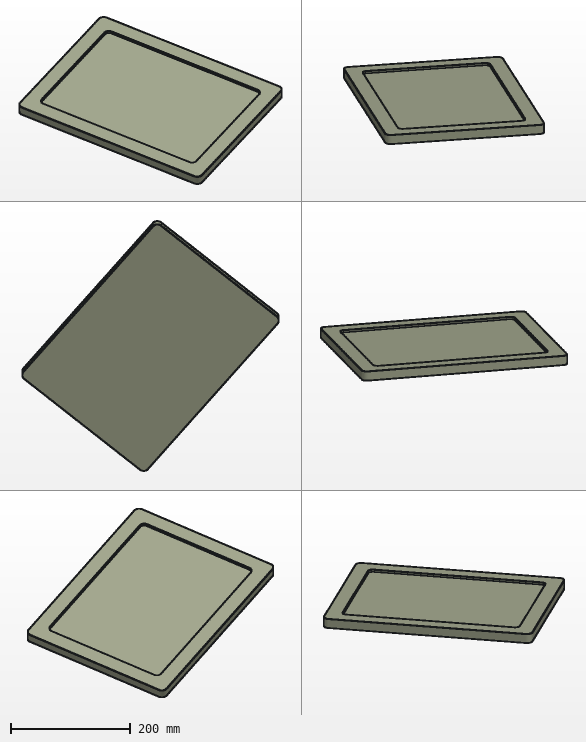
import cadquery as cq

length = 356.5
width = 271.3
thickness = 16.8
corner_radius = 9.5

edge_chamfer = 0.7

border = 26.7
recess_depth = 4.3
mouth_corner_radius = 8.5

mouth_length = length - 2 * border
mouth_width = width - 2 * border
recess_length = mouth_length - 2 * edge_chamfer
recess_width = mouth_width - 2 * edge_chamfer
recess_corner_radius = mouth_corner_radius - edge_chamfer


def rounded_block(block_length, block_width, height, radius):
    """Block resting on Z = 0 with its four vertical edges rounded."""
    block = cq.Workplane("XY").box(block_length, block_width, height, centered=(True, True, False))
    return block.edges("|Z").fillet(radius)


plate = rounded_block(length, width, thickness, corner_radius)
plate = plate.faces("<Z or >Z").edges().chamfer(edge_chamfer)

recess = rounded_block(recess_length, recess_width, recess_depth, recess_corner_radius)
recess = recess.translate((0, 0, thickness - recess_depth))

mouth = rounded_block(mouth_length, mouth_width, 2 * edge_chamfer, mouth_corner_radius)
mouth = mouth.faces("<Z").edges().chamfer(edge_chamfer)
mouth = mouth.translate((0, 0, thickness - edge_chamfer))

result = plate.cut(recess).cut(mouth)